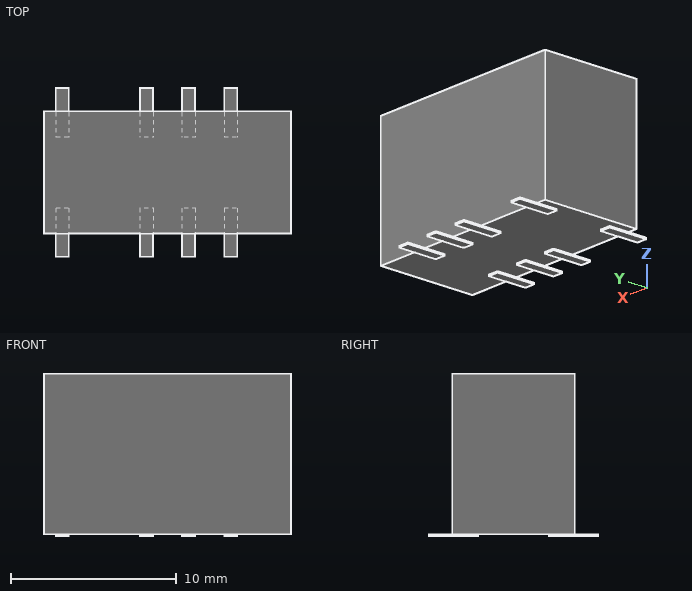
import cadquery as cq

housing_length = 14.9
housing_width = 7.4
housing_height = 9.7

lead_span = 10.2
lead_length = 2.96
lead_width = 0.8
lead_thickness = 0.1
lead_pitch = 2.54
first_lead_inset = 1.1
lead_positions = [0, 2, 3, 4]


def make_housing():
    block = cq.Workplane("XY").box(
        housing_length, housing_width, housing_height, centered=(True, True, False)
    )
    return block.translate((0, 0, lead_thickness))


def make_lead(x, side):
    """One flat lead centred at x; side is -1 or +1 for the housing edge along Y."""
    strip = cq.Workplane("XY").box(
        lead_width, lead_length, lead_thickness, centered=(True, True, False)
    )
    y = side * (lead_span - lead_length) / 2
    return strip.translate((x, y, 0))


housing = make_housing()

first_lead_x = -housing_length / 2 + first_lead_inset
leads = []
for side in (-1, 1):
    for position in lead_positions:
        leads.append(make_lead(first_lead_x + position * lead_pitch, side))

result = cq.Compound.makeCompound([housing.val(), *[lead.val() for lead in leads]])